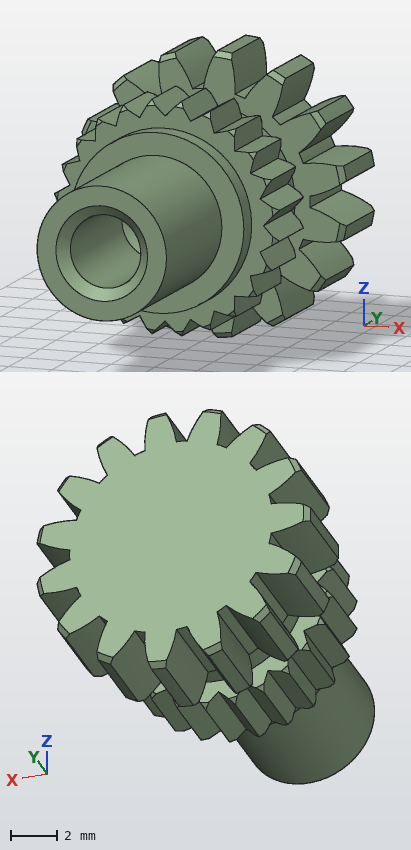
import cadquery as cq
import math

TOTAL_LENGTH = 17.5

SHAFT_RADIUS = 3.0
SHAFT_LENGTH = 7.0
HUB_RADIUS = 4.0
HUB_LENGTH = TOTAL_LENGTH - SHAFT_LENGTH

SMALL_TEETH = 24
SMALL_TIP_RADIUS = 5.25
SMALL_ROOT_RADIUS = 4.55
SMALL_WIDTH = 3.5
SMALL_START = SHAFT_LENGTH + 1.0
SMALL_CHAMFER = 0.25

LARGE_TEETH = 15
LARGE_TIP_RADIUS = 6.37
LARGE_MIDDLE_RADIUS = 5.78
LARGE_ROOT_RADIUS = 4.69
FLOOR_HALF_WIDTH = 0.25
TIP_HALF_WIDTH = 0.33
MIDDLE_HALF_WIDTH = 0.551
LARGE_WIDTH = 4.0
LARGE_START = TOTAL_LENGTH - LARGE_WIDTH
LARGE_CHAMFER = 0.25

BORE_RADIUS = 1.63
BORE_DEPTH = SHAFT_LENGTH
BORE_CHAMFER = 0.49
DRILL_POINT_ANGLE = 118.0
DRILL_POINT_DEPTH = BORE_RADIUS / math.tan(math.radians(DRILL_POINT_ANGLE / 2))


def polar(radius, angle):
    """Point of a gear outline, with the angle in radians from +X towards +Z."""
    return (radius * math.cos(angle), radius * math.sin(angle))


def plane_at(y):
    """Plane across the axis, with local x along +X, local y along +Z and its normal along -Y."""
    return cq.Workplane("XZ", origin=(0, y, 0))


def cylinder(radius, start, length):
    return plane_at(start).circle(radius).extrude(-length)


def chamfered_blank(radius, start, width, chamfer):
    """Disc that trims the tooth tips to their outer radius and end chamfers."""
    return cylinder(radius, start, width).edges().chamfer(chamfer)


def small_gear():
    pitch = 2 * math.pi / SMALL_TEETH
    points = []
    for tooth in range(SMALL_TEETH):
        points.append(polar(SMALL_ROOT_RADIUS, tooth * pitch))
        points.append(polar(SMALL_TIP_RADIUS, (tooth + 0.5) * pitch))
    teeth = plane_at(SMALL_START).polyline(points).close().extrude(-SMALL_WIDTH)
    blank = chamfered_blank(SMALL_TIP_RADIUS, SMALL_START, SMALL_WIDTH, SMALL_CHAMFER)
    return teeth.intersect(blank)


def large_gear():
    pitch = 2 * math.pi / LARGE_TEETH
    tip_angle = math.asin(TIP_HALF_WIDTH / LARGE_TIP_RADIUS)
    middle_angle = math.asin(MIDDLE_HALF_WIDTH / LARGE_MIDDLE_RADIUS)
    base_angle = pitch / 2 - math.asin(FLOOR_HALF_WIDTH / LARGE_ROOT_RADIUS)

    outline = plane_at(LARGE_START).moveTo(*polar(LARGE_ROOT_RADIUS, math.pi - base_angle))
    for tooth in range(LARGE_TEETH):
        center = math.pi + tooth * pitch
        outline = (
            outline
            .threePointArc(polar(LARGE_MIDDLE_RADIUS, center - middle_angle),
                           polar(LARGE_TIP_RADIUS, center - tip_angle))
            .threePointArc(polar(LARGE_TIP_RADIUS, center),
                           polar(LARGE_TIP_RADIUS, center + tip_angle))
            .threePointArc(polar(LARGE_MIDDLE_RADIUS, center + middle_angle),
                           polar(LARGE_ROOT_RADIUS, center + base_angle))
            .threePointArc(polar(LARGE_ROOT_RADIUS, center + pitch / 2),
                           polar(LARGE_ROOT_RADIUS, center + pitch - base_angle))
        )
    teeth = outline.close().extrude(-LARGE_WIDTH)
    blank = chamfered_blank(LARGE_TIP_RADIUS, LARGE_START, LARGE_WIDTH, LARGE_CHAMFER)
    return teeth.intersect(blank)


def bore():
    """Chamfered bore with a conical bottom, revolved about the Y axis."""
    return (
        cq.Workplane("XY")
        .moveTo(0, 0)
        .lineTo(BORE_RADIUS + BORE_CHAMFER, 0)
        .lineTo(BORE_RADIUS, BORE_CHAMFER)
        .lineTo(BORE_RADIUS, BORE_DEPTH)
        .lineTo(0, BORE_DEPTH + DRILL_POINT_DEPTH)
        .close()
        .revolve(360, (0, 0, 0), (0, 1, 0))
    )


shaft = cylinder(SHAFT_RADIUS, 0, SHAFT_LENGTH)
hub = cylinder(HUB_RADIUS, SHAFT_LENGTH, HUB_LENGTH)
result = shaft.union(hub).union(small_gear()).union(large_gear()).cut(bore())